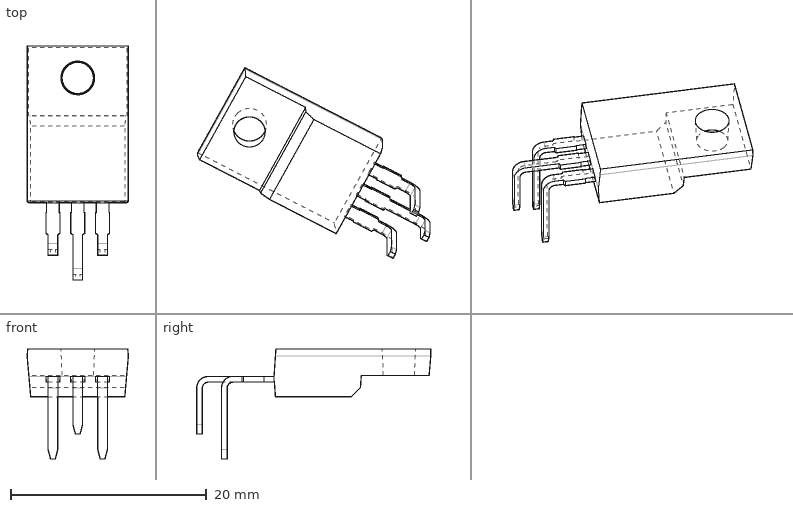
import cadquery as cq
import math


housing_width = 10.35
housing_length = 16.03
housing_height = 4.9
tab_thickness = 2.73
widest_depth = 0.72
parting_depth = 2.8
draft_slope = math.tan(math.radians(5))
top_front_inset = 0.2
bottom_front_inset = 0.15
step_y = -7.1
step_draft = 0.07
step_chamfer = 0.98

hole_y = -3.28
hole_top_diameter = 3.45
hole_bottom_diameter = 3.18

lead_pitch = 2.54
lead_thickness = 0.6
bend_outer_radius = 1.2
bend_inner_radius = bend_outer_radius - lead_thickness
root_width = 1.32
shoulder_width = 1.45
pin_width = 1.0
tip_width = 0.5
tip_length = 0.95
shoulder_start_y = -17.03
shoulder_end_y = -19.14
pin_start_y = -19.28
middle_reach = 23.92
outer_reach = middle_reach - lead_pitch
middle_depth = 8.68
outer_depth = 11.25
root_overlap = 0.48


def make_housing():
    back_inset = (tab_thickness - widest_depth) * draft_slope
    side_profile = (
        cq.Workplane("YZ")
        .moveTo(0, 0)
        .lineTo(0, -widest_depth)
        .lineTo(-back_inset, -tab_thickness)
        .lineTo(step_y, -tab_thickness)
        .lineTo(step_y - step_draft, step_chamfer - housing_height)
        .lineTo(step_y - step_draft - step_chamfer, -housing_height)
        .lineTo(bottom_front_inset - housing_length, -housing_height)
        .lineTo(-housing_length, -parting_depth)
        .lineTo(top_front_inset - housing_length, 0)
        .close()
        .extrude(housing_width / 2, both=True)
    )

    half_width = housing_width / 2
    top_half = half_width - widest_depth * draft_slope
    bottom_half = half_width - (housing_height - widest_depth) * draft_slope
    front_profile = (
        cq.Workplane("XZ")
        .polyline([
            (-top_half, 0),
            (top_half, 0),
            (half_width, -widest_depth),
            (bottom_half, -housing_height),
            (-bottom_half, -housing_height),
            (-half_width, -widest_depth),
        ])
        .close()
        .extrude(housing_length)
    )

    hole = (
        cq.Workplane("XY")
        .center(0, hole_y)
        .circle(hole_top_diameter / 2)
        .workplane(offset=-tab_thickness)
        .circle(hole_bottom_diameter / 2)
        .loft(ruled=True)
    )
    return side_profile.intersect(front_profile).cut(hole).solids()


def make_lead(x, reach, depth, housing):
    root_y = root_overlap - housing_length
    top_z = -parting_depth
    under_z = top_z - lead_thickness
    bend_y = bend_outer_radius - reach
    bend_z = top_z - bend_outer_radius
    diagonal = math.sqrt(0.5)

    strip = (
        cq.Workplane("YZ")
        .moveTo(root_y, top_z)
        .lineTo(bend_y, top_z)
        .threePointArc(
            (bend_y - bend_outer_radius * diagonal, bend_z + bend_outer_radius * diagonal),
            (-reach, bend_z),
        )
        .lineTo(-reach, -depth)
        .lineTo(lead_thickness - reach, -depth)
        .lineTo(lead_thickness - reach, bend_z)
        .threePointArc(
            (bend_y - bend_inner_radius * diagonal, bend_z + bend_inner_radius * diagonal),
            (bend_y, under_z),
        )
        .lineTo(root_y, under_z)
        .close()
        .extrude(shoulder_width / 2, both=True)
    )

    right_edge = [
        (root_width / 2, root_y),
        (root_width / 2, shoulder_start_y),
        (shoulder_width / 2, shoulder_start_y),
        (shoulder_width / 2, shoulder_end_y),
        (pin_width / 2, pin_start_y),
        (pin_width / 2, -reach),
    ]
    left_edge = [(-edge_x, edge_y) for edge_x, edge_y in reversed(right_edge)]
    plan = cq.Workplane("XY").polyline(right_edge + left_edge).close().extrude(-depth)

    tip_outline = (
        cq.Workplane("XZ")
        .polyline([
            (-shoulder_width / 2, 0),
            (shoulder_width / 2, 0),
            (shoulder_width / 2, under_z),
            (pin_width / 2, under_z),
            (pin_width / 2, tip_length - depth),
            (tip_width / 2, -depth),
            (-tip_width / 2, -depth),
            (-pin_width / 2, tip_length - depth),
            (-pin_width / 2, under_z),
            (-shoulder_width / 2, under_z),
        ])
        .close()
        .extrude(reach)
    )
    lead = strip.intersect(plan).intersect(tip_outline)
    return lead.translate((x, 0, 0)).cut(housing).solids()


housing = make_housing()

leads = []
for position in (-1, 0, 1):
    is_middle = position == 0
    reach = middle_reach if is_middle else outer_reach
    depth = middle_depth if is_middle else outer_depth
    leads.append(make_lead(position * lead_pitch, reach, depth, housing))

result = cq.Compound.makeCompound([housing.val(), *[lead.val() for lead in leads]])